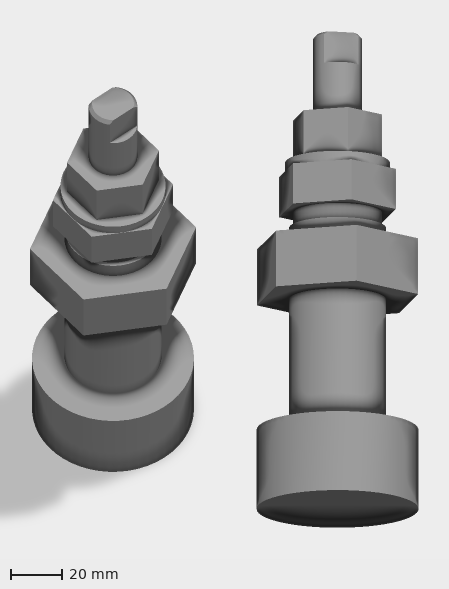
import cadquery as cq
import math

base_diameter = 63.5
base_height = 31.8
relief_height = 1.7
barrel_diameter = 38.1
barrel_top = 113.0
neck_diameter = 34.9
neck_height = 6.1
wrench_hex_flats = 41.3
wrench_hex_height = 16.2
collar_diameter = 41.1
collar_height = 4.0
gland_hex_flats = 31.6
gland_hex_height = 18.3

nut_flats = 57.2
nut_bottom = 84.2
nut_height = 22.5

total_height = 190.5
stem_diameter = 19.0
stem_flat_width = 13.0
stem_flat_height = 12.8
stem_chamfer = 1.3

relief_top = base_height + relief_height
neck_top = barrel_top + neck_height
wrench_hex_top = neck_top + wrench_hex_height
collar_top = wrench_hex_top + collar_height
gland_hex_top = collar_top + gland_hex_height
nut_top = nut_bottom + nut_height
stem_bottom = collar_top
stem_flat_bottom = total_height - stem_flat_height


def cylinder(diameter, bottom, top):
    """Vertical cylinder on the Z axis."""
    return cq.Workplane("XY").workplane(offset=bottom).circle(diameter / 2).extrude(top - bottom)


def hexagon(flats, bottom, top):
    """Vertical hexagonal prism with two corners in the XZ plane."""
    corner_diameter = flats / math.cos(math.pi / 6)
    return cq.Workplane("XY").workplane(offset=bottom).polygon(6, corner_diameter).extrude(top - bottom)


def make_housing():
    """Stepped housing with a blind bore in the gland hex for the stem."""
    body = cylinder(base_diameter, 0, base_height)
    body = body.union(cylinder(neck_diameter, base_height, relief_top))
    body = body.union(cylinder(barrel_diameter, relief_top, barrel_top))
    body = body.union(cylinder(neck_diameter, barrel_top, neck_top))
    body = body.union(hexagon(wrench_hex_flats, neck_top, wrench_hex_top))
    body = body.union(cylinder(collar_diameter, wrench_hex_top, collar_top))
    body = body.union(hexagon(gland_hex_flats, collar_top, gland_hex_top))
    return body.cut(cylinder(stem_diameter, stem_bottom, gland_hex_top))


def make_nut():
    """Hex nut bored to fit the barrel."""
    nut = hexagon(nut_flats, nut_bottom, nut_top)
    return nut.cut(cylinder(barrel_diameter, nut_bottom, nut_top))


def make_stem():
    """Round stem seated in the gland hex, chamfered and flattened on both X sides at its tip."""
    stem = cylinder(stem_diameter, stem_bottom, total_height).faces(">Z").chamfer(stem_chamfer)
    flattened_tip = (
        cq.Workplane("XY")
        .workplane(offset=stem_flat_bottom)
        .rect(stem_flat_width, stem_diameter)
        .extrude(stem_flat_height)
    )
    side_cut = cylinder(stem_diameter, stem_flat_bottom, total_height).cut(flattened_tip)
    return stem.cut(side_cut)


housing = make_housing()
nut = make_nut()
stem = make_stem()

result = cq.Compound.makeCompound([housing.val(), nut.val(), stem.val()])